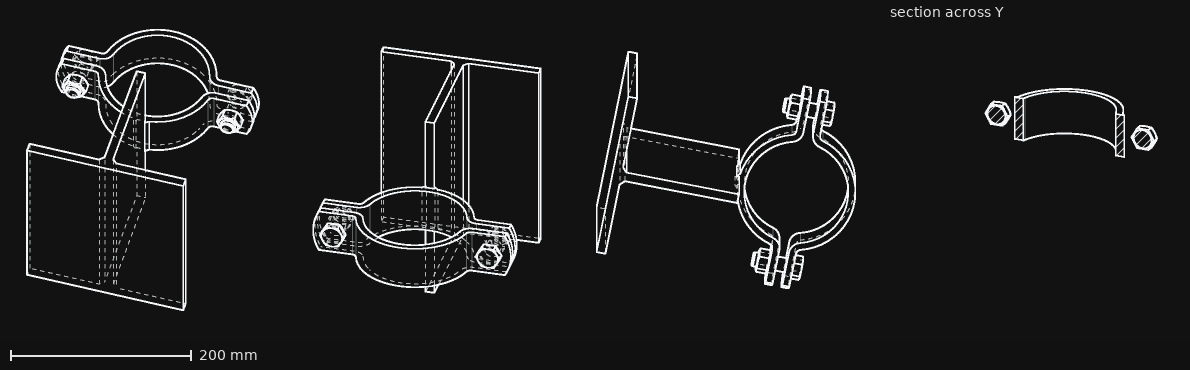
import cadquery as cq
import math

total_depth = 272.8
plate_width = 180.0
plate_height = 220.0
plate_thickness = 10.0
web_thickness = 10.0
base_weld_leg = 5.0

clamp_outer_radius = 65.5
strap_thickness = 8.0
strap_height = 50.0
ear_span = 226.0
ear_gap = 11.0
ear_end_radius = 50.0
bend_inner_radius = 5.5
clamp_weld_leg = 4.0
clamp_weld_drop = 2.7

bolt_spacing = 178.0
bolt_diameter = 16.0
bolt_end_diameter = 14.2
bolt_end_chamfer = 1.6
bolt_reach = 18.3
hex_across_flats = 23.7
head_height = 10.0
head_face_diameter = 23.7
bearing_face_diameter = 22.0
bearing_face_thickness = 0.5
nut_height = 12.8
nut_face_diameter = 22.0
chamfer_angle = math.radians(30)

clamp_inner_radius = clamp_outer_radius - strap_thickness
bend_outer_radius = bend_inner_radius + strap_thickness
ear_inner_y = ear_gap / 2
ear_outer_y = ear_inner_y + strap_thickness
hex_across_corners = hex_across_flats / math.cos(math.radians(30))
plate_front_y = clamp_outer_radius - total_depth
plate_back_y = plate_front_y + plate_thickness


def polar(radius, angle):
    return radius * math.cos(angle), radius * math.sin(angle)


def strap():
    """Strap on the +Y side: half ring, two bends and two round-ended ears."""
    bend_y = ear_inner_y + bend_outer_radius
    bend_x = math.sqrt((clamp_inner_radius + bend_outer_radius) ** 2 - bend_y**2)
    tangent_angle = math.atan2(bend_y, bend_x)
    ear_x = ear_span / 2

    def bend_middle(radius):
        x, y = polar(radius, (tangent_angle + 2.5 * math.pi) / 2)
        return bend_x + x, bend_y + y

    def mirrored(point):
        return -point[0], point[1]

    inner_tangent = polar(clamp_inner_radius, tangent_angle)
    outer_tangent = polar(clamp_outer_radius, tangent_angle)
    profile = (
        cq.Workplane("XY")
        .moveTo(ear_x, ear_inner_y)
        .lineTo(bend_x, ear_inner_y)
        .threePointArc(bend_middle(bend_outer_radius), inner_tangent)
        .threePointArc((0, clamp_inner_radius), mirrored(inner_tangent))
        .threePointArc(mirrored(bend_middle(bend_outer_radius)), (-bend_x, ear_inner_y))
        .lineTo(-ear_x, ear_inner_y)
        .lineTo(-ear_x, ear_outer_y)
        .lineTo(-bend_x, ear_outer_y)
        .threePointArc(mirrored(bend_middle(bend_inner_radius)), mirrored(outer_tangent))
        .threePointArc((0, clamp_outer_radius), outer_tangent)
        .threePointArc(bend_middle(bend_inner_radius), (bend_x, ear_outer_y))
        .lineTo(ear_x, ear_outer_y)
        .close()
    )
    bent_strip = profile.extrude(strap_height / 2, both=True)

    half_height = strap_height / 2
    arc_rise = ear_end_radius - math.sqrt(ear_end_radius**2 - half_height**2)
    ear_corner_x = ear_x - arc_rise
    outline = (
        cq.Workplane("XZ")
        .moveTo(-ear_corner_x, -half_height)
        .lineTo(ear_corner_x, -half_height)
        .threePointArc((ear_x, 0), (ear_corner_x, half_height))
        .lineTo(-ear_corner_x, half_height)
        .threePointArc((-ear_x, 0), (-ear_corner_x, -half_height))
        .close()
        .extrude(clamp_outer_radius, both=True)
    )
    return bent_strip.intersect(outline)


def bracket():
    """Base plate and web, with fillet welds at the foot of the web."""
    half_plate = plate_width / 2
    half_web = web_thickness / 2
    weld_x = half_web + base_weld_leg
    right_side = [
        (half_plate, plate_front_y),
        (half_plate, plate_back_y),
        (weld_x, plate_back_y),
        (half_web, plate_back_y + base_weld_leg),
        (half_web, -clamp_outer_radius),
    ]
    left_side = [(-x, y) for x, y in reversed(right_side)]
    return cq.Workplane("XY").polyline(right_side + left_side).close().extrude(plate_height / 2, both=True)


def clamp_weld():
    """Welds beside the web, their upper side following the strap."""
    half_web = web_thickness / 2
    weld_x = half_web + clamp_weld_leg
    root_y = -math.sqrt(clamp_outer_radius**2 - weld_x**2)
    points = [
        (weld_x, root_y),
        (half_web, -clamp_outer_radius - clamp_weld_drop),
        (-half_web, -clamp_outer_radius - clamp_weld_drop),
        (-weld_x, root_y),
    ]
    block = cq.Workplane("XY").polyline(points).close().extrude(strap_height / 2, both=True)
    ring_space = cq.Workplane("XY").circle(clamp_outer_radius).extrude(strap_height, both=True)
    return block.cut(ring_space)


def turned(points):
    """Solid turned around the Z axis from (radius, z) points."""
    return cq.Workplane("XZ").polyline(points).close().revolve(360, (0, 0), (0, 1))


def hexagon(height, face_diameter, cone_foot):
    """Hexagonal prism from z = 0 upward, its corners coned at the top and, if asked, at the foot."""
    corner_radius = hex_across_corners / 2
    face_radius = face_diameter / 2
    cone_height = (corner_radius - face_radius) * math.tan(chamfer_angle)
    foot = [(face_radius, 0), (corner_radius, cone_height)] if cone_foot else [(corner_radius, 0)]
    top = [(corner_radius, height - cone_height), (face_radius, height)]
    envelope = turned([(0, 0)] + foot + top + [(0, height)])
    return cq.Workplane("XY").polygon(6, hex_across_corners).extrude(height).intersect(envelope)


def bolt_with_nut():
    """Bolt along Y with its head on the +Y ears and its nut on the -Y ears."""
    tip_z = -ear_outer_y - bolt_reach
    head_z = ear_outer_y + bearing_face_thickness
    shank = turned(
        [
            (0, tip_z),
            (bolt_end_diameter / 2, tip_z),
            (bolt_diameter / 2, tip_z + bolt_end_chamfer),
            (bolt_diameter / 2, head_z),
            (0, head_z),
        ]
    )
    bearing_face = (
        cq.Workplane("XY")
        .workplane(offset=ear_outer_y)
        .circle(bearing_face_diameter / 2)
        .extrude(bearing_face_thickness)
    )
    head = hexagon(head_height - bearing_face_thickness, head_face_diameter, cone_foot=False)
    nut = hexagon(nut_height, nut_face_diameter, cone_foot=True)
    fastener = (
        shank.union(bearing_face)
        .union(head.translate((0, 0, head_z)))
        .union(nut.translate((0, 0, -ear_outer_y - nut_height)))
    )
    return fastener.rotate((0, 0, 0), (1, 0, 0), -90)


back_strap = strap()
front_strap = back_strap.mirror("XZ")

result = front_strap.union(clamp_weld()).union(bracket()).union(back_strap)
for side in (-1, 1):
    result = result.union(bolt_with_nut().translate((side * bolt_spacing / 2, 0, 0)))